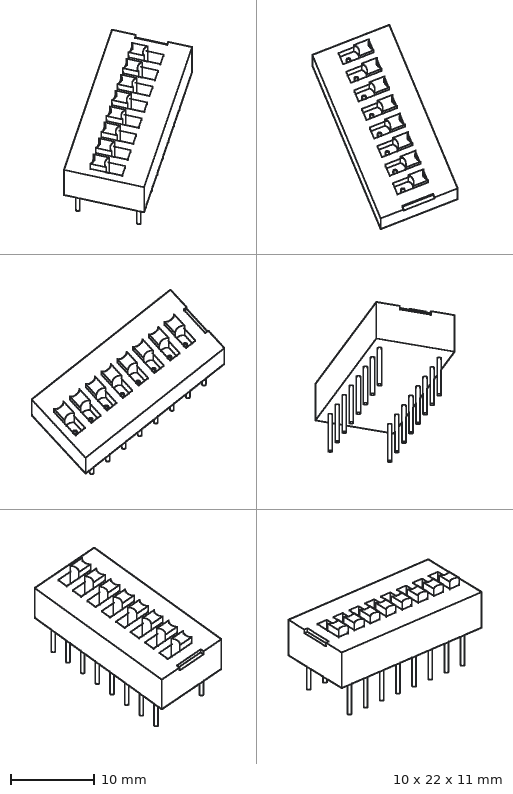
import cadquery as cq

body_width = 10.0
body_length = 22.0
body_height = 5.02
body_front = -body_length / 2
body_back = body_length / 2

switch_count = 8

pin_diameter = 0.5
pin_length = 5.0
pin_row_length = 17.78
pin_pitch = pin_row_length / (switch_count - 1)
pin_row_spacing = 7.61
front_pin_inset = 2.0

switch_row_length = 17.5
switch_pitch = switch_row_length / (switch_count - 1)
slot_length = 4.0
slot_width = 1.5
slot_depth = 2.0
front_slot_inset = 1.0
lever_length = slot_length / 2
lever_rise = 1.0
grip_radius = 1.0

dimple_diameter = 0.5
dimple_depth = 0.5
dimple_x = slot_length / 4

notch_length = slot_length
notch_width = 0.48
notch_depth = 0.5

slot_floor = body_height - slot_depth
switch_positions = [
    body_front + front_slot_inset + slot_width / 2 + i * switch_pitch for i in range(switch_count)
]
pin_positions = [body_front + front_pin_inset + i * pin_pitch for i in range(switch_count)]


def make_slot(y):
    """Rectangular pocket opening through the top face, with its floor dimple."""
    pocket = (
        cq.Workplane("XY", origin=(0, y, slot_floor))
        .rect(slot_length, slot_width)
        .extrude(slot_depth)
    )
    dimple = (
        cq.Workplane("XY", origin=(dimple_x, y, slot_floor - dimple_depth))
        .circle(dimple_diameter / 2)
        .extrude(dimple_depth)
    )
    return pocket.union(dimple)


def make_lever(y):
    """Lever at the -X end of its slot, with a concave grip at each end."""
    half_width = slot_width / 2
    grip_sag = grip_radius - (grip_radius**2 - half_width**2) ** 0.5
    left = -slot_length / 2
    right = left + lever_length
    return (
        cq.Workplane("XY", origin=(0, y, slot_floor))
        .moveTo(left, -half_width)
        .lineTo(right, -half_width)
        .threePointArc((right - grip_sag, 0), (right, half_width))
        .lineTo(left, half_width)
        .threePointArc((left + grip_sag, 0), (left, -half_width))
        .close()
        .extrude(slot_depth + lever_rise)
    )


def make_notch():
    """Shallow step cut into the middle of the back top edge."""
    return (
        cq.Workplane("XY", origin=(0, body_back - notch_width / 2, body_height - notch_depth))
        .rect(notch_length, notch_width)
        .extrude(notch_depth)
    )


def make_pins():
    """Two rows of round pins hanging below the body."""
    row_x = pin_row_spacing / 2
    centres = [(x, y) for x in (-row_x, row_x) for y in pin_positions]
    return (
        cq.Workplane("XY")
        .pushPoints(centres)
        .circle(pin_diameter / 2)
        .extrude(-pin_length)
    )


result = cq.Workplane("XY").box(body_width, body_length, body_height, centered=(True, True, False))
result = result.cut(make_notch())
for switch_y in switch_positions:
    result = result.cut(make_slot(switch_y)).union(make_lever(switch_y))
result = result.union(make_pins())